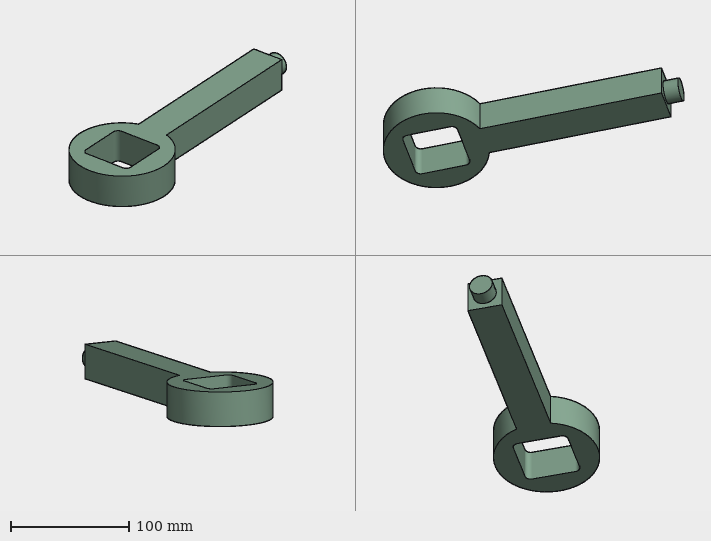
import cadquery as cq

total_length = 260.3
thickness = 30.0
ring_diameter = 90.0
socket_side = 48.0
socket_corner_radius = 5.0
handle_width = 30.0
pin_diameter = 20.0
pin_length = 13.0

pin_end = total_length - ring_diameter / 2
handle_end = pin_end - pin_length


def make_ring():
    return cq.Workplane("XY").circle(ring_diameter / 2).extrude(thickness)


def make_handle():
    """Rectangular bar from the ring centre to the shoulder of the pin."""
    return cq.Workplane("XY").box(
        handle_width, handle_end, thickness, centered=(True, False, False)
    )


def make_pin():
    """Round pin on the handle axis, at mid-thickness."""
    pin = cq.Workplane("XZ").circle(pin_diameter / 2).extrude(-pin_length)
    return pin.translate((0, handle_end, thickness / 2))


def make_socket():
    """Square through hole with rounded corners."""
    socket = cq.Workplane("XY").rect(socket_side, socket_side).extrude(thickness)
    return socket.edges("|Z").fillet(socket_corner_radius)


result = make_ring().union(make_handle()).union(make_pin()).cut(make_socket())